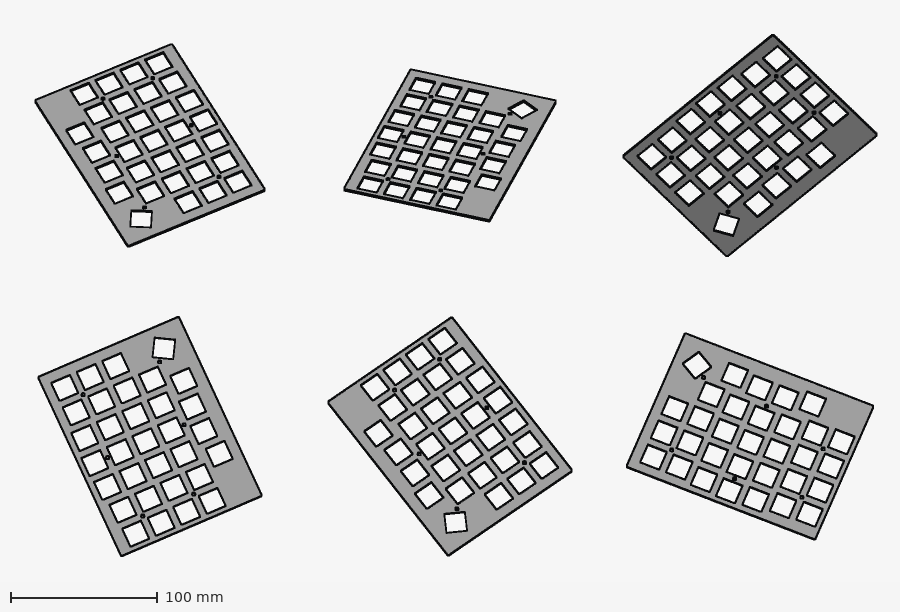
import cadquery as cq

plate_length = 139.0
plate_width = 105.0
plate_thickness = 1.6
corner_radius = 1.0

key_pitch = 19.0
key_opening = 14.0
half_pitch = key_pitch / 2

screw_hole_diameter = 2.2

first_column_x = -59.0
columns = [
    (37.0, 4),
    (38.0, 4),
    (41.0, 4),
    (42.0, 4),
    (41.0, 4),
    (39.0, 4),
    (39.0, 3),
]

thumb_first_column = 1
thumb_row_ys = [-38.0, -35.0, -35.0, -37.0]

turned_key_center = (53.0, -34.0)
turned_key_angle = -30.0

screw_columns = [
    (0, 1, (0, 2)),
    (3, 0, (0, 3)),
    (5, 1, (0, 3)),
]


def column_x(index):
    return first_column_x + index * key_pitch


def grid_key_centers():
    centers = []
    for index, (top_y, key_count) in enumerate(columns):
        for row in range(key_count):
            centers.append((column_x(index), top_y - row * key_pitch))
    return centers


def thumb_key_centers():
    first_x = column_x(thumb_first_column) + half_pitch
    return [(first_x + step * key_pitch, y) for step, y in enumerate(thumb_row_ys)]


def screw_hole_centers():
    centers = []
    for column, half_steps, gaps in screw_columns:
        top_y = columns[column][0]
        x = column_x(column) + half_steps * half_pitch
        for gap in gaps:
            centers.append((x, top_y - half_pitch - gap * key_pitch))
    return centers


def make_blank():
    blank = cq.Workplane("XY").rect(plate_length, plate_width).extrude(plate_thickness)
    return blank.edges("|Z").fillet(corner_radius)


def make_key_cutter(centers, angle=0.0):
    sketch = cq.Sketch().push(centers).rect(key_opening, key_opening, angle=angle)
    return cq.Workplane("XY").placeSketch(sketch).extrude(plate_thickness)


def make_screw_hole_cutter():
    holes = cq.Workplane("XY").pushPoints(screw_hole_centers())
    return holes.circle(screw_hole_diameter / 2).extrude(plate_thickness)


result = (
    make_blank()
    .cut(make_key_cutter(grid_key_centers() + thumb_key_centers()))
    .cut(make_key_cutter([turned_key_center], turned_key_angle))
    .cut(make_screw_hole_cutter())
)